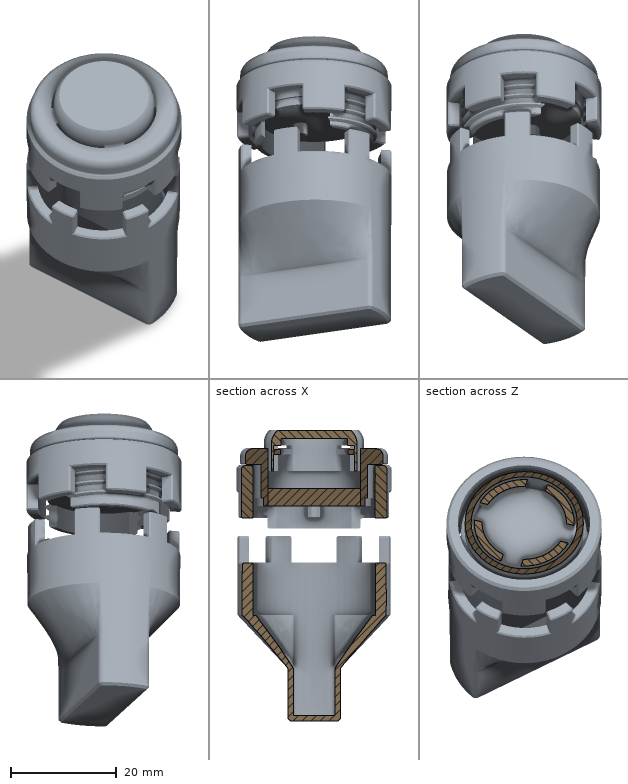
import cadquery as cq
import math

EDGE_BREAK = 0.3
LEG_COUNT = 6
LEG_PITCH = 360 / LEG_COUNT
MARGIN = 0.55
TOLERANCE = 0.005

BOOT_SHIFT_X = -0.15
BOOT_RADIUS = 14.5
BOOT_BORE_RADIUS = 12.5
BOOT_LEG_ANGLE = 20
BOOT_LEG_TOP = 35.05
BOOT_RIM_Z = 30.05
BOOT_SHOULDER_Z = 20.1
BOOT_TAIL_TOP = 10.05
BOOT_TAIL_HALF_WIDTH = 5.0
BOOT_CORNER = 1.0
BOOT_BASE_CHAMFER = 0.5
BOOT_FLOOR = 1.1
FUNNEL_RADIUS = 12.0
FUNNEL_HALF_WIDTH = 3.9
SHOULDER_CORNER = 0.15

COLLAR_RADIUS = 14.685
COLLAR_BORE_RADIUS = 12.5
COLLAR_TOP = 48.45
COLLAR_BOTTOM = 38.4
COLLAR_TOP_CHAMFER = 0.5
COLLAR_SLOT_ANGLE = 27.4
COLLAR_SLOT_TOP = 43.3
COLLAR_TURN = 0.7

BEZEL_RADIUS = 14.0
BEZEL_TOP = 51.7
BEZEL_BOTTOM = 48.6
BEZEL_ROUNDING = 1.5
BEZEL_CHAMFER = 0.2
BORE_RADIUS = 10.0
BARREL_RADIUS = 11.25
BARREL_BOTTOM = 36.4
BARREL_CHAMFER = 0.2
GAP_HALF_WIDTH = 7.025
GAP_TOP = 40.7
NECK_RADIUS = 10.8
NECK_TOP = 42.2
THREAD_CREST_RADIUS = 11.9
THREAD_PITCH = 2.0
THREAD_START = 37.5
THREAD_TURNS = 4
THREAD_BASE_WIDTH = 1.2
THREAD_CREST_WIDTH = 0.3
THREAD_ROOT_DEPTH = 0.15

KEY_COUNT = 4
KEY_WIDTH = 3.85
KEY_DEPTH = 1.1
KEY_ROOT = 0.3
KEY_DROP = 0.15

BUTTON_RADIUS = 9.505
BUTTON_TOP = 55.1
BUTTON_TOP_RADIUS = 8.5
BUTTON_SHOULDER_Z = 52.7
BUTTON_BORE_RADIUS = 7.95
BUTTON_CEILING = 53.45
BUTTON_BOTTOM = 47.4
NOTCH_TOP = 52.1

SWITCH_TOP = 44.1
TERMINAL_LEFT = 1.5
TERMINAL_WIDTH = 2.75
TERMINAL_DEPTH = 2.2
TERMINAL_CHAMFER = 0.65
TERMINAL_BOTTOM = 38.6


def polar(radius, degrees):
    """Point on a circle about Z."""
    angle = math.radians(degrees)
    return (radius * math.cos(angle), radius * math.sin(angle))


def cylinder(radius, bottom, top):
    return cq.Workplane("XY").workplane(offset=bottom).circle(radius).extrude(top - bottom)


def sector(middle, width, reach, bottom, top):
    """Wedge from the Z axis outward, `width` degrees wide about the direction `middle`."""
    return (
        cq.Workplane("XY")
        .workplane(offset=bottom)
        .polyline([(0, 0), polar(reach, middle - width / 2), polar(reach, middle + width / 2)])
        .close()
        .extrude(top - bottom)
    )


def break_rim_edges(ring, radius, low, high, tip):
    """Chamfer the outer rim between two heights and the radial edges of the leg tips."""
    on_rim = []
    for edge in ring.val().Edges():
        middle = edge.positionAt(0.5)
        on_cylinder = abs(math.hypot(middle.x, middle.y) - radius) < TOLERANCE
        on_leg_tip = edge.geomType() == "LINE" and abs(edge.Center().z - tip) < TOLERANCE
        if low < middle.z < high and (on_cylinder or on_leg_tip):
            on_rim.append(edge)
    return cq.Workplane(ring.val().chamfer(EDGE_BREAK, None, on_rim))


def tail_outline(radius, half_width, corner, z):
    """Circle with two flats at Y = +-half_width and rounded corners, as eight edges."""
    inset = half_width - corner
    corner_x = math.sqrt((radius - corner) ** 2 - inset ** 2)
    corner_angle = math.degrees(math.atan2(inset, corner_x))
    side_x, side_y = polar(radius, corner_angle)
    half_turn = (90 - corner_angle) / 2
    mid_dx, mid_dy = polar(corner, corner_angle + half_turn)
    mid_x = corner_x + mid_dx
    mid_y = inset + mid_dy
    return (
        cq.Workplane("XY", origin=(0, 0, z))
        .moveTo(corner_x, half_width)
        .lineTo(-corner_x, half_width)
        .threePointArc((-mid_x, mid_y), (-side_x, side_y))
        .threePointArc((-radius, 0), (-side_x, -side_y))
        .threePointArc((-mid_x, -mid_y), (-corner_x, -half_width))
        .lineTo(corner_x, -half_width)
        .threePointArc((mid_x, -mid_y), (side_x, -side_y))
        .threePointArc((radius, 0), (side_x, side_y))
        .threePointArc((mid_x, mid_y), (corner_x, half_width))
        .close()
    )


def split_circle(radius, half_width, corner, z):
    """Circle cut into eight arcs that match the edges of the tail outline."""
    middle = math.degrees(math.asin(half_width / radius))
    step = math.degrees(corner / radius)
    ends = []
    for mirror in (middle, 180 - middle, 180 + middle, 360 - middle):
        ends += [mirror - step, mirror + step]
    outline = cq.Workplane("XY", origin=(0, 0, z)).moveTo(*polar(radius, ends[1]))
    stops = ends[2:] + [ends[0] + 360, ends[1] + 360]
    start = ends[1]
    for stop in stops:
        outline = outline.threePointArc(polar(radius, (start + stop) / 2), polar(radius, stop))
        start = stop
    return outline.close()


def tail_transition(radius, half_width):
    """Loft from the flat tail up to the round shoulder."""
    lower = tail_outline(radius, half_width, BOOT_CORNER, BOOT_TAIL_TOP).val()
    upper = split_circle(radius, half_width, SHOULDER_CORNER, BOOT_SHOULDER_Z).val()
    return cq.Workplane(cq.Solid.makeLoft([lower, upper], True))


def make_boot():
    cup = cylinder(BOOT_RADIUS, BOOT_SHOULDER_Z, BOOT_LEG_TOP)
    cup = cup.cut(cylinder(BOOT_BORE_RADIUS, BOOT_SHOULDER_Z, BOOT_LEG_TOP))
    for index in range(LEG_COUNT):
        middle = index * LEG_PITCH
        gap_angle = LEG_PITCH - BOOT_LEG_ANGLE
        cup = cup.cut(sector(middle, gap_angle, 2 * BOOT_RADIUS, BOOT_RIM_Z, BOOT_LEG_TOP))
    cup = break_rim_edges(
        cup, BOOT_RADIUS, BOOT_SHOULDER_Z + MARGIN, BOOT_LEG_TOP + MARGIN, BOOT_LEG_TOP
    )

    tail = tail_outline(BOOT_RADIUS, BOOT_TAIL_HALF_WIDTH, BOOT_CORNER, 0).extrude(BOOT_TAIL_TOP)
    tail = tail.faces("<Z").chamfer(BOOT_BASE_CHAMFER)
    boot = tail.union(tail_transition(BOOT_RADIUS, BOOT_TAIL_HALF_WIDTH))

    hollow = tail_outline(BOOT_BORE_RADIUS, FUNNEL_HALF_WIDTH, BOOT_CORNER, BOOT_FLOOR)
    boot = boot.cut(hollow.extrude(BOOT_SHOULDER_Z - BOOT_FLOOR))
    boot = boot.cut(tail_transition(FUNNEL_RADIUS, FUNNEL_HALF_WIDTH)).union(cup)
    return boot.translate((BOOT_SHIFT_X, 0, 0))


def make_collar():
    collar = cylinder(COLLAR_RADIUS, COLLAR_BOTTOM, COLLAR_TOP)
    collar = collar.faces(">Z").chamfer(COLLAR_TOP_CHAMFER)
    collar = collar.cut(cylinder(COLLAR_BORE_RADIUS, COLLAR_BOTTOM, COLLAR_TOP))
    for index in range(LEG_COUNT):
        middle = (index + 0.5) * LEG_PITCH
        slot = sector(middle, COLLAR_SLOT_ANGLE, 2 * COLLAR_RADIUS, COLLAR_BOTTOM, COLLAR_SLOT_TOP)
        collar = collar.cut(slot)
    collar = break_rim_edges(
        collar, COLLAR_RADIUS, COLLAR_BOTTOM - MARGIN, COLLAR_SLOT_TOP + MARGIN, COLLAR_BOTTOM
    )
    return collar.rotate((0, 0, 0), (0, 0, 1), COLLAR_TURN)


def make_thread():
    """Right-hand helical ridge that starts in the gap on the +Y side."""
    height = THREAD_PITCH * THREAD_TURNS
    root = BARREL_RADIUS - THREAD_ROOT_DEPTH
    helix = cq.Wire.makeHelix(THREAD_PITCH, height, root)
    ridge = (
        cq.Workplane("XZ")
        .polyline([
            (root, -THREAD_BASE_WIDTH / 2),
            (THREAD_CREST_RADIUS, -THREAD_CREST_WIDTH / 2),
            (THREAD_CREST_RADIUS, THREAD_CREST_WIDTH / 2),
            (root, THREAD_BASE_WIDTH / 2),
        ])
        .close()
        .sweep(cq.Workplane(helix), isFrenet=True)
    )
    return ridge.rotate((0, 0, 0), (0, 0, 1), 90).translate((0, 0, THREAD_START))


def gap_block(top):
    """Block across the barrel along Y, from below the barrel up to `top`."""
    length = 2 * (THREAD_CREST_RADIUS + MARGIN)
    return (
        cq.Workplane("XY")
        .workplane(offset=BARREL_BOTTOM - MARGIN)
        .rect(2 * GAP_HALF_WIDTH, length)
        .extrude(top - BARREL_BOTTOM + MARGIN)
    )


def key_block(inner, outer, bottom, top, middle):
    """Block KEY_WIDTH wide that points radially in the direction `middle`."""
    block = cq.Workplane("XY").box(
        outer - inner, KEY_WIDTH, top - bottom, centered=(False, True, False)
    )
    return block.translate((inner, 0, bottom)).rotate((0, 0, 0), (0, 0, 1), middle)


def key_directions():
    return [(index + 0.5) * 360 / KEY_COUNT for index in range(KEY_COUNT)]


def make_bezel():
    barrel = cylinder(BARREL_RADIUS, BARREL_BOTTOM, BEZEL_BOTTOM).faces("<Z").chamfer(BARREL_CHAMFER)
    clear_thread = gap_block(BEZEL_BOTTOM)
    barrel = barrel.union(make_thread().cut(clear_thread))
    neck_ring = cylinder(2 * BARREL_RADIUS, BARREL_BOTTOM, NECK_TOP)
    neck_ring = neck_ring.cut(cylinder(NECK_RADIUS, BARREL_BOTTOM, NECK_TOP))
    barrel = barrel.cut(neck_ring.intersect(clear_thread))
    barrel = barrel.cut(gap_block(GAP_TOP))

    rim = cylinder(BEZEL_RADIUS, BEZEL_BOTTOM, BEZEL_TOP)
    rim = rim.faces(">Z").edges().fillet(BEZEL_ROUNDING).faces("<Z").chamfer(BEZEL_CHAMFER)
    bezel = rim.union(barrel).cut(cylinder(BORE_RADIUS, BARREL_BOTTOM, BEZEL_TOP))
    key_top = BEZEL_TOP - KEY_DROP
    for direction in key_directions():
        key = key_block(
            BUTTON_BORE_RADIUS, BORE_RADIUS + KEY_ROOT, key_top - KEY_DEPTH, key_top, direction
        )
        bezel = bezel.union(key)
    return bezel


def make_button():
    rise = BUTTON_TOP - BUTTON_SHOULDER_Z
    inset = BUTTON_RADIUS - BUTTON_TOP_RADIUS
    crown_radius = (rise ** 2 + inset ** 2) / (2 * inset)
    half_angle = math.degrees(math.asin(rise / crown_radius)) / 2
    mid_dx, mid_dz = polar(crown_radius, half_angle)
    crown_middle = (BUTTON_RADIUS - crown_radius + mid_dx, BUTTON_SHOULDER_Z + mid_dz)
    button = (
        cq.Workplane("XZ")
        .moveTo(BUTTON_BORE_RADIUS, BUTTON_BOTTOM)
        .lineTo(BUTTON_RADIUS, BUTTON_BOTTOM)
        .lineTo(BUTTON_RADIUS, BUTTON_SHOULDER_Z)
        .threePointArc(crown_middle, (BUTTON_TOP_RADIUS, BUTTON_TOP))
        .lineTo(0, BUTTON_TOP)
        .lineTo(0, BUTTON_CEILING)
        .lineTo(BUTTON_BORE_RADIUS, BUTTON_CEILING)
        .close()
        .revolve(360, (0, 0, 0), (0, 1, 0))
    )
    for direction in key_directions():
        button = button.cut(key_block(0, 2 * BUTTON_RADIUS, BUTTON_BOTTOM, NOTCH_TOP, direction))
    return button


def make_switch():
    plug = cylinder(BORE_RADIUS, GAP_TOP, SWITCH_TOP)
    terminal = (
        cq.Workplane("XY")
        .workplane(offset=TERMINAL_BOTTOM)
        .center(TERMINAL_LEFT + TERMINAL_WIDTH / 2, 0)
        .rect(TERMINAL_WIDTH, TERMINAL_DEPTH)
        .extrude(GAP_TOP - TERMINAL_BOTTOM)
        .edges("|Z")
        .chamfer(TERMINAL_CHAMFER)
    )
    return plug.union(terminal)


boot = make_boot()
collar = make_collar()
bezel = make_bezel()
button = make_button()
switch = make_switch()

bodies = [boot, collar, bezel, button, switch]
result = cq.Compound.makeCompound([body.solids().val() for body in bodies])